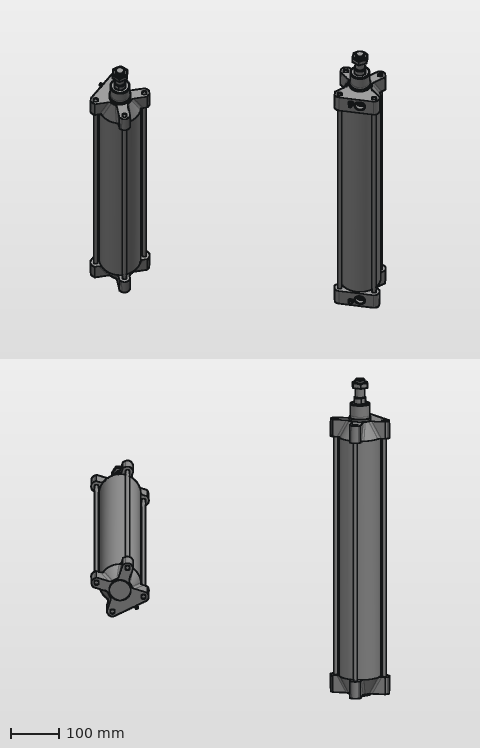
import cadquery as cq
import math

total_length = 668.0
pilot_height = 3.5
cover_height = 36.0
front_cover_top = 582.0
hub_top = 617.0
shoulder_top = 630.5
nut_top = 661.0

rear_inner_face = pilot_height + cover_height
front_inner_face = front_cover_top - cover_height

cover_width = 95.0
tie_rod_spacing = 72.0
corner_radius = (cover_width - tie_rod_spacing) / 2
cover_draft = 1.0
arm_half_width = 11.5
cone_top_radius = 25.5
arm_fillet = 6.0
screw_hole_diameter = 10.0
screw_hole_depth = 3.5

port_y = -8.0
port_depth = 17.5
port_spotface_diameter = 23.0
port_spotface_depth = 1.0
port_thread_diameter = 19.0
port_thread_depth = 11.0
port_bore_diameter = 15.0
port_bore_depth = 13.5
valve_y = 11.0
valve_depth = 12.0
valve_collar_diameter = 12.0
valve_neck_diameter = 9.0
valve_collar_length = 3.5
valve_head_diameter = 6.0
valve_root = 1.5
valve_reach = 9.5

barrel_diameter = 86.0
tie_rod_diameter = 9.0
pilot_diameter = 45.0
hub_diameter = 41.0
front_pilot_height = 5.5
pilot_rim = 1.0
hub_cone_height = 5.0
hub_chamfer = 2.0

rod_diameter = 25.0
rod_chamfer = 2.0
rod_flat_width = 23.0
thread_diameter = 20.0
thread_chamfer = 2.0
nut_sides = 6
nut_width = 30.0
nut_crown_diameter = 29.0
nut_height = 11.0
nut_chamfer_angle = 30.0

side_face_x = -cover_width / 2
tie_rod_places = [
    (sx * tie_rod_spacing / 2, sy * tie_rod_spacing / 2) for sx in (-1, 1) for sy in (-1, 1)
]


def cylinder(diameter, bottom, top):
    """Cylinder on the Z axis between two heights."""
    return cq.Workplane("XY").workplane(offset=bottom).circle(diameter / 2).extrude(top - bottom)


def side_disc(diameter, y, z, start, length):
    """Cylinder along +X whose first end lies at x = start."""
    return cq.Workplane("YZ", origin=(start, y, z)).circle(diameter / 2).extrude(length)


def cover_recess(angle):
    """Right-angled wedge that separates two neighbouring arms, opening towards the given angle."""
    apex = arm_half_width * math.sqrt(2)
    reach = cover_width
    return (
        cq.Workplane("XY")
        .moveTo(apex, 0)
        .lineTo(apex + reach, reach)
        .lineTo(apex + reach, -reach)
        .close()
        .extrude(cover_height)
        .rotate((0, 0, 0), (0, 0, 1), angle)
    )


def cover_blank():
    """Square drafted block with X-shaped arms around a cone; inner face at z = 0, outer face up."""
    outline = cq.Sketch().rect(cover_width, cover_width).vertices().fillet(corner_radius)
    block = cq.Workplane("XY").placeSketch(outline).extrude(cover_height, taper=cover_draft)
    for angle in (-90, 0, 90):
        block = block.cut(cover_recess(angle))
    cone = (
        cq.Workplane("XY")
        .circle(barrel_diameter / 2)
        .workplane(offset=cover_height)
        .circle(cone_top_radius)
        .loft(ruled=True)
    )
    block = block.union(cone)
    valley_edges = [e for e in block.edges().vals() if e.geomType() not in ("LINE", "CIRCLE")]
    return block.newObject(valley_edges).fillet(arm_fillet)


def add_port(cover):
    """Stepped air port in the -X face."""
    z = cover_height - port_depth
    steps = (
        (port_spotface_diameter, port_spotface_depth),
        (port_thread_diameter, port_thread_depth),
        (port_bore_diameter, port_bore_depth),
    )
    for diameter, depth in steps:
        cover = cover.cut(side_disc(diameter, port_y, z, side_face_x, depth))
    return cover


def add_valve(cover):
    """Cushion valve standing out of the -X face: a conical collar and a round head."""
    z = cover_height - valve_depth
    collar = (
        cq.Workplane("YZ", origin=(side_face_x + valve_root, valve_y, z))
        .circle(valve_collar_diameter / 2)
        .workplane(offset=-valve_root - valve_collar_length)
        .circle(valve_neck_diameter / 2)
        .loft(ruled=True)
    )
    head = side_disc(valve_head_diameter, valve_y, z, side_face_x - valve_reach, valve_reach)
    return cover.union(collar).union(head)


def end_cover():
    """Complete end cover with its screw holes, port and valve."""
    screw_holes = (
        cq.Workplane("XY")
        .workplane(offset=cover_height - screw_hole_depth)
        .pushPoints(tie_rod_places)
        .circle(screw_hole_diameter / 2)
        .extrude(screw_hole_depth)
    )
    return add_valve(add_port(cover_blank().cut(screw_holes)))


def front_hub():
    """Rod bearing hub: pilot ring, cone and chamfered neck, turned about Z."""
    pilot_radius = pilot_diameter / 2
    hub_radius = hub_diameter / 2
    pilot_top = front_cover_top + front_pilot_height
    return (
        cq.Workplane("XZ")
        .moveTo(0, front_cover_top)
        .lineTo(pilot_radius, front_cover_top)
        .lineTo(pilot_radius, pilot_top - pilot_rim)
        .lineTo(pilot_radius - pilot_rim, pilot_top)
        .lineTo(hub_radius, pilot_top + hub_cone_height)
        .lineTo(hub_radius, hub_top - hub_chamfer)
        .lineTo(hub_radius - hub_chamfer, hub_top)
        .lineTo(0, hub_top)
        .close()
        .revolve(360, (0, 0, 0), (0, 1, 0))
    )


def make_housing():
    """Barrel, tie rods, both end covers, hub and rear pilot, with a bore for the piston rod."""
    cover = end_cover()
    housing = cylinder(barrel_diameter, rear_inner_face, front_inner_face)
    tie_rods = (
        cq.Workplane("XY")
        .workplane(offset=rear_inner_face)
        .pushPoints(tie_rod_places)
        .circle(tie_rod_diameter / 2)
        .extrude(front_inner_face - rear_inner_face)
    )
    return (
        housing.union(cover.translate((0, 0, front_inner_face)))
        .union(cover.mirror("XY").translate((0, 0, rear_inner_face)))
        .union(tie_rods)
        .union(front_hub())
        .union(cylinder(pilot_diameter, 0, pilot_height))
        .cut(cylinder(rod_diameter, front_inner_face, hub_top))
    )


def make_piston_rod():
    """Rod with wrench flats on +Y and -Y above the hub, and a thinner threaded end."""
    shank = cylinder(rod_diameter, front_inner_face, shoulder_top).faces(">Z").chamfer(rod_chamfer)
    flat_height = shoulder_top - hub_top
    flat_zone = cylinder(rod_diameter, hub_top, shoulder_top)
    kept = cq.Workplane("XY").box(rod_diameter, rod_flat_width, flat_height, centered=(True, True, False))
    shank = shank.cut(flat_zone.cut(kept.translate((0, 0, hub_top))))
    thread = cylinder(thread_diameter, shoulder_top, total_length).faces(">Z").chamfer(thread_chamfer)
    return shank.union(thread)


def make_nut():
    """Hexagon nut with corners pointing along X and chamfered on top."""
    nut_bottom = nut_top - nut_height
    corner_diameter = nut_width / math.cos(math.pi / nut_sides)
    slope = math.tan(math.radians(nut_chamfer_angle))
    top_radius = nut_crown_diameter / 2
    base_radius = top_radius + nut_height / slope
    hexagon = (
        cq.Workplane("XY")
        .workplane(offset=nut_bottom)
        .polygon(nut_sides, corner_diameter)
        .extrude(nut_height)
    )
    chamfer_cone = (
        cq.Workplane("XY")
        .workplane(offset=nut_bottom)
        .circle(base_radius)
        .workplane(offset=nut_height)
        .circle(top_radius)
        .loft(ruled=True)
    )
    return hexagon.intersect(chamfer_cone).cut(cylinder(thread_diameter, nut_bottom, nut_top))


housing = make_housing()
piston_rod = make_piston_rod()
nut = make_nut()

result = cq.Compound.makeCompound([housing.val(), piston_rod.val(), nut.val()])